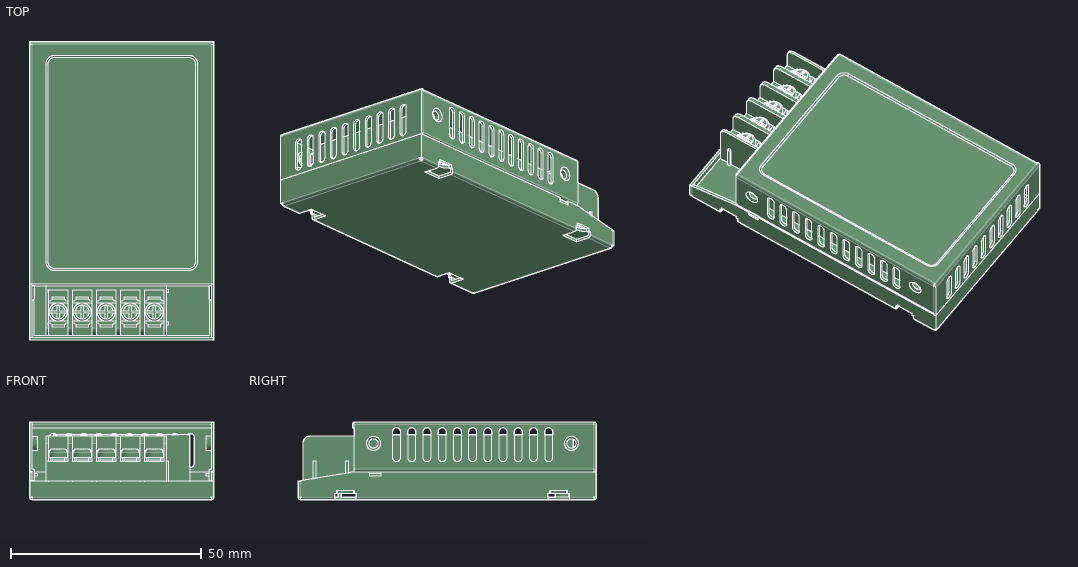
import cadquery as cq
import math


LENGTH = 78.5
WIDTH = 48.5
HEIGHT = 20.5
SHEET = 0.7
BEND_RADIUS = 0.67
SEAM_Z = 7.4
HALF_WIDTH = WIDTH / 2
INNER_HALF_WIDTH = HALF_WIDTH - SHEET
SIDES = (-1, 1)

LIP_HEIGHT = 4.95
SLOPE_BACK = 14.75
MOUNT_YS = (12.5, 68.5)
MOUNT_NOTCH_LENGTH = 5.65
MOUNT_NOTCH_DEPTH = 4.7
MOUNT_NOTCH_TOP = 1.65
STANDOFF_DIAMETER = 3.5
STANDOFF_X = 17.3
STANDOFF_Y = 69.4

SPACER_BOTTOM = MOUNT_NOTCH_TOP
SPACER_TOP = 2.4
SCREW_HEAD_DIAMETER = 4.8
SCREW_HEAD_OFFSET = 0.5
BOARD_TOP = 3.7
BOARD_INSET = 1.2
BLOCK_HALF_WIDTH = 17.9
BLOCK_TOP = 17.1
BLOCK_FRONT = 17.3
BLOCK_BACK = 72.45

COVER_FRONT = 14.3
COVER_LIP_BOTTOM = 18.9
COVER_SIDE_FRONT = SLOPE_BACK
LEG_BOTTOM = 5.1
LEG_THICKNESS = 0.55
LEG_ROUNDING = 0.4
LEG_TOP = SEAM_Z + SHEET
LATCH_Y = 20.3
LATCH_LENGTH = 3.1
LATCH_BOTTOM = 6.3
LATCH_TOP = 6.9
LATCH_REACH = 2.1
SLOT_WIDTH = 2.05
SLOT_HEIGHT = 8.9
SLOT_PITCH = 4.0
SIDE_SLOTS = 11
SIDE_SLOT_FIRST_Y = 25.9
SIDE_SLOT_BOTTOM = 10.05
BACK_SLOTS = 10
BACK_SLOT_BOTTOM = 8.55
SCREW_YS = (19.85, 71.9)
SCREW_Z = 14.8
SCREW_BOSS_DIAMETER = 3.8
SCREW_SINK_DIAMETER = 3.7
SCREW_HOLE_DIAMETER = 2.4
SCREW_BOSS_REACH = 2.05
PANEL_HALF_WIDTH = 19.9
PANEL_FRONT = 18.3
PANEL_BACK = 74.9
PANEL_RADIUS = 2.3
PANEL_DEPTH = 0.3
PANEL_SLOPE_WIDTH = 0.55

POLES = 5
TERMINAL_LEFT = -19.9
TERMINAL_WIDTH = 31.7
TERMINAL_FRONT = 1.25
TERMINAL_BACK = 15.3
TERMINAL_TOP = 16.8
TERMINAL_CORNER_RADIUS = 2.0
POCKET_WIDTH = 5.2
POCKET_BACK = 13.2
POCKET_FLOOR = 10.1
END_WALL = 0.6
POLE_PITCH = (TERMINAL_WIDTH - 2 * END_WALL - POCKET_WIDTH) / (POLES - 1)
FOOT_NOTCH_TOP = 4.95
FOOT_NOTCH_DEPTH = 1.6
RIB_YS = (12.9, 4.3)
RIB_WIDTH = 0.8
RIB_DEPTH = 0.55
RIB_TOP = 10.2
SCREW_AXIS_Y = 7.4
CONTACT_TOP = 11.1
CONTACT_LENGTH = 5.8
SHOULDER_CHAMFER = 0.4
TAB_WIDTH = 3.4
TAB_LENGTH = 7.85
TAB_CHAMFER = 0.55
WASHER_LENGTH = 4.8
WASHER_TOP = 11.15
HEAD_DIAMETER = 4.8
HEAD_FACE_DIAMETER = 3.6
HEAD_SHOULDER = 12.5
HEAD_TOP = 13.35
DRIVE_WIDTH = 0.6
DRIVE_DEPTH = 0.7
CROSS_LENGTH = 3.3
LEAD_Y = 11.0
LEAD_SIZE = 0.9


def box(x0, x1, y0, y1, z0, z1):
    """Box between two corners, with the X limits in either order."""
    return (
        cq.Workplane("XY")
        .box(abs(x1 - x0), y1 - y0, z1 - z0, centered=False)
        .translate((min(x0, x1), y0, z0))
    )


def cylinder_x(side, x0, x1, y, z, diameter):
    """Cylinder along X between two distances from the middle, on one side of the part."""
    start = cq.Vector(side * x0, y, z)
    return cq.Workplane(cq.Solid.makeCylinder(diameter / 2, x1 - x0, start, cq.Vector(side, 0, 0)))


def pole_xs():
    first = TERMINAL_LEFT + END_WALL + POCKET_WIDTH / 2
    return [first + i * POLE_PITCH for i in range(POLES)]


def terminal_leads():
    """Solder leads of the terminals, one behind each screw, standing on the base floor."""
    half = LEAD_SIZE / 2
    leads = cq.Workplane("XY")
    for x in pole_xs():
        leads = leads.add(box(x - half, x + half, LEAD_Y - half, LEAD_Y + half, SHEET, BOARD_TOP))
    return leads.combine()


def latch_length_limits():
    return LATCH_Y - LATCH_LENGTH / 2, LATCH_Y + LATCH_LENGTH / 2


def screw_head_clearance(side, y):
    """Upright cylinder that clears a mounting screw head above a notch, up to the spacer top."""
    radius = SCREW_HEAD_DIAMETER / 2
    axis_x = side * (HALF_WIDTH + SCREW_HEAD_OFFSET)
    return cq.Workplane("XY").circle(radius).extrude(SPACER_TOP).translate((axis_x, y, 0))


def relieve_lower_corners(wall):
    """Remove the ends of the bottom bend, where it would meet the bends of the side walls."""
    for side in SIDES:
        outer = side * HALF_WIDTH
        wall = wall.cut(box(outer, side * INNER_HALF_WIDTH, 0, LENGTH, 0, SHEET))
    return wall


def make_base():
    slope_front_z = LIP_HEIGHT + (SEAM_Z - LIP_HEIGHT) * SHEET / SLOPE_BACK
    profile = [
        (SHEET, 0),
        (LENGTH - SHEET, 0),
        (LENGTH - SHEET, SEAM_Z),
        (SLOPE_BACK, SEAM_Z),
        (SHEET, slope_front_z),
    ]
    base = cq.Workplane("YZ").polyline(profile).close().extrude(HALF_WIDTH, both=True)
    base = base.faces("<Z").edges("|Y").fillet(BEND_RADIUS)
    base = base.cut(
        box(-INNER_HALF_WIDTH, INNER_HALF_WIDTH, SHEET, LENGTH - SHEET, SHEET, HEIGHT)
    )
    latch_start, latch_end = latch_length_limits()
    for side in SIDES:
        outer = side * HALF_WIDTH
        for y in MOUNT_YS:
            half = MOUNT_NOTCH_LENGTH / 2
            depth = side * (HALF_WIDTH - MOUNT_NOTCH_DEPTH)
            base = base.cut(box(outer, depth, y - half, y + half, 0, MOUNT_NOTCH_TOP))
            base = base.cut(screw_head_clearance(side, y))
        inner = side * INNER_HALF_WIDTH
        base = base.cut(box(outer, inner, latch_start, latch_end, LATCH_BOTTOM, SEAM_Z))
        standoff = cq.Workplane("XY").circle(STANDOFF_DIAMETER / 2).extrude(SPACER_BOTTOM)
        base = base.union(standoff.translate((side * STANDOFF_X, STANDOFF_Y, 0)))
    front_wall = box(-HALF_WIDTH, HALF_WIDTH, 0, SHEET, 0, LIP_HEIGHT)
    front_wall = relieve_lower_corners(front_wall.edges("<Y and <Z").fillet(BEND_RADIUS))
    back_wall = box(-HALF_WIDTH, HALF_WIDTH, LENGTH - SHEET, LENGTH, 0, SEAM_Z)
    back_wall = relieve_lower_corners(back_wall.edges(">Y and <Z").fillet(BEND_RADIUS))
    return base.union(back_wall).union(front_wall, clean=False)


def make_spacer():
    spacer = box(
        -INNER_HALF_WIDTH, INNER_HALF_WIDTH, SHEET, LENGTH - SHEET, SPACER_BOTTOM, SPACER_TOP
    )
    for side in SIDES:
        for y in MOUNT_YS:
            spacer = spacer.cut(screw_head_clearance(side, y))
    return spacer.cut(terminal_leads())


def make_board():
    half = HALF_WIDTH - BOARD_INSET
    board = box(-half, half, BOARD_INSET, LENGTH - BOARD_INSET, SPACER_TOP, BOARD_TOP)
    board = board.cut(terminal_leads())
    block = box(
        -BLOCK_HALF_WIDTH, BLOCK_HALF_WIDTH, BLOCK_FRONT, BLOCK_BACK, SPACER_TOP, BLOCK_TOP
    )
    return board.union(block)


def upright_slot(plane):
    """Ventilation slot standing on the origin, cut along the normal of the given plane."""
    return (
        cq.Workplane(plane)
        .center(0, SLOT_HEIGHT / 2)
        .slot2D(SLOT_HEIGHT, SLOT_WIDTH, 90)
        .extrude(WIDTH, both=True)
    )


def recessed_panel():
    slope_angle = math.degrees(math.atan(PANEL_SLOPE_WIDTH / PANEL_DEPTH))
    panel = (
        cq.Workplane("XY")
        .rect(2 * PANEL_HALF_WIDTH, PANEL_BACK - PANEL_FRONT)
        .extrude(PANEL_DEPTH)
        .edges("|Z")
        .fillet(PANEL_RADIUS)
        .faces(">Z")
        .wires()
        .toPending()
        .extrude(-PANEL_DEPTH, combine=False, taper=slope_angle)
    )
    return panel.translate((0, (PANEL_FRONT + PANEL_BACK) / 2, HEIGHT - PANEL_DEPTH))


def add_screw_seat(cover, side, y):
    """Countersunk hole in a boss on the inside of a side wall."""
    boss_end = HALF_WIDTH - SCREW_BOSS_REACH
    boss = cylinder_x(side, boss_end, INNER_HALF_WIDTH, y, SCREW_Z, SCREW_BOSS_DIAMETER)
    hole = cylinder_x(side, boss_end, HALF_WIDTH, y, SCREW_Z, SCREW_HOLE_DIAMETER)
    sink_depth = (SCREW_SINK_DIAMETER - SCREW_HOLE_DIAMETER) / 2
    sink = cq.Solid.makeCone(
        SCREW_SINK_DIAMETER / 2,
        SCREW_HOLE_DIAMETER / 2,
        sink_depth,
        cq.Vector(side * HALF_WIDTH, y, SCREW_Z),
        cq.Vector(-side, 0, 0),
    )
    return cover.union(boss).cut(hole).cut(cq.Workplane(sink))


def side_leg(side):
    """Strip stepped inward from a side wall, behind the base wall, with its latch."""
    inner = HALF_WIDTH - SHEET - LEG_THICKNESS
    leg = box(
        side * INNER_HALF_WIDTH, side * inner, COVER_SIDE_FRONT, LENGTH - SHEET, LEG_BOTTOM, LEG_TOP
    )
    inner_top_edge = leg.edges("|Y").edges(">Z").edges("<X" if side > 0 else ">X")
    leg = inner_top_edge.fillet(LEG_ROUNDING)
    latch_start, latch_end = latch_length_limits()
    latch = box(
        side * HALF_WIDTH,
        side * (HALF_WIDTH - LATCH_REACH),
        latch_start,
        latch_end,
        LATCH_BOTTOM,
        LATCH_TOP,
    )
    return leg.union(latch)


def cover_back_wall():
    """Slotted wall across the full width; its seams with the side walls stay."""
    wall = box(-HALF_WIDTH, HALF_WIDTH, LENGTH - SHEET, LENGTH, SEAM_Z, HEIGHT)
    wall = wall.edges(">Y and >Z").fillet(BEND_RADIUS)
    for i in range(BACK_SLOTS):
        slot_x = (i - (BACK_SLOTS - 1) / 2) * SLOT_PITCH
        wall = wall.cut(upright_slot("XZ").translate((slot_x, LENGTH, BACK_SLOT_BOTTOM)))
    return wall


def make_cover():
    cover = box(-HALF_WIDTH, HALF_WIDTH, COVER_SIDE_FRONT, LENGTH - SHEET, SEAM_Z, HEIGHT)
    cover = cover.edges("|Y").fillet(BEND_RADIUS)
    cover = cover.cut(
        box(-INNER_HALF_WIDTH, INNER_HALF_WIDTH, 0, LENGTH, 0, HEIGHT - SHEET)
    )
    lip = box(
        -INNER_HALF_WIDTH,
        INNER_HALF_WIDTH,
        COVER_FRONT,
        COVER_FRONT + SHEET,
        COVER_LIP_BOTTOM,
        HEIGHT,
    )
    cover = cover.union(lip.edges("<Y and >Z").fillet(BEND_RADIUS))
    cover = cover.cut(recessed_panel())
    for i in range(SIDE_SLOTS):
        slot_y = SIDE_SLOT_FIRST_Y + i * SLOT_PITCH
        cover = cover.cut(upright_slot("YZ").translate((0, slot_y, SIDE_SLOT_BOTTOM)))
    for side in SIDES:
        cover = cover.union(side_leg(side))
        for y in SCREW_YS:
            cover = add_screw_seat(cover, side, y)
    return cover.union(cover_back_wall(), clean=False)


def make_terminal_housing():
    right = TERMINAL_LEFT + TERMINAL_WIDTH
    housing = box(TERMINAL_LEFT, right, TERMINAL_FRONT, TERMINAL_BACK, BOARD_TOP, TERMINAL_TOP)
    housing = housing.edges("|X").edges("<Y and >Z").fillet(TERMINAL_CORNER_RADIUS)
    for x in pole_xs():
        half = POCKET_WIDTH / 2
        housing = housing.cut(box(x - half, x + half, 0, POCKET_BACK, POCKET_FLOOR, HEIGHT))
        notch_back = TERMINAL_FRONT + FOOT_NOTCH_DEPTH
        housing = housing.cut(box(x - half, x + half, 0, notch_back, BOARD_TOP, FOOT_NOTCH_TOP))
    for y in RIB_YS:
        rib = box(0, RIB_DEPTH, y - RIB_WIDTH / 2, y + RIB_WIDTH / 2, BOARD_TOP, RIB_TOP)
        housing = housing.cut(rib.translate((TERMINAL_LEFT, 0, 0)))
        housing = housing.union(rib.translate((right, 0, 0)))
    return housing


def make_terminal_screw():
    """Contact plate, square washer and cross-slotted screw, centred on the screw axis."""
    half_width = POCKET_WIDTH / 2
    half_tab = TAB_WIDTH / 2
    quarter_outline = [
        (half_width, CONTACT_LENGTH / 2),
        (half_tab + SHOULDER_CHAMFER, CONTACT_LENGTH / 2),
        (half_tab, CONTACT_LENGTH / 2 + SHOULDER_CHAMFER),
        (half_tab, TAB_LENGTH / 2),
    ]
    outline = quarter_outline + [(-x, y) for x, y in reversed(quarter_outline)]
    outline += [(-x, -y) for x, y in outline]
    contact = (
        cq.Workplane("XY", origin=(0, 0, POCKET_FLOOR))
        .polyline(outline)
        .close()
        .extrude(CONTACT_TOP - POCKET_FLOOR)
    )
    tab_end_edges = contact.faces("<Y or >Y").edges(">Z")
    contact = tab_end_edges.chamfer(TAB_CHAMFER)
    washer = box(
        -half_width, half_width, -WASHER_LENGTH / 2, WASHER_LENGTH / 2, CONTACT_TOP, WASHER_TOP
    )
    head_radius = HEAD_DIAMETER / 2
    face_radius = HEAD_FACE_DIAMETER / 2
    head = (
        cq.Workplane("XZ")
        .moveTo(0, WASHER_TOP)
        .lineTo(head_radius, WASHER_TOP)
        .lineTo(head_radius, HEAD_SHOULDER)
        .tangentArcPoint((face_radius, HEAD_TOP), relative=False)
        .lineTo(0, HEAD_TOP)
        .close()
        .revolve(360, (0, 0), (0, 1))
    )
    half_drive = DRIVE_WIDTH / 2
    drive_bottom = HEAD_TOP - DRIVE_DEPTH
    head = head.cut(
        box(-HEAD_DIAMETER, HEAD_DIAMETER, -half_drive, half_drive, drive_bottom, HEAD_TOP)
    )
    half_cross = CROSS_LENGTH / 2
    head = head.cut(
        box(-half_drive, half_drive, -half_cross, half_cross, drive_bottom, HEAD_TOP)
    )
    return contact.union(washer).union(head)


def make_terminal_block():
    terminal = make_terminal_housing().union(terminal_leads())
    screw = make_terminal_screw()
    for x in pole_xs():
        terminal = terminal.union(screw.translate((x, SCREW_AXIS_Y, 0)))
    return terminal


base = make_base()
spacer = make_spacer()
board = make_board()
cover = make_cover()
terminal_block = make_terminal_block()

bodies = [base, spacer, board, cover, terminal_block]
result = cq.Compound.makeCompound([body.solids().val() for body in bodies])